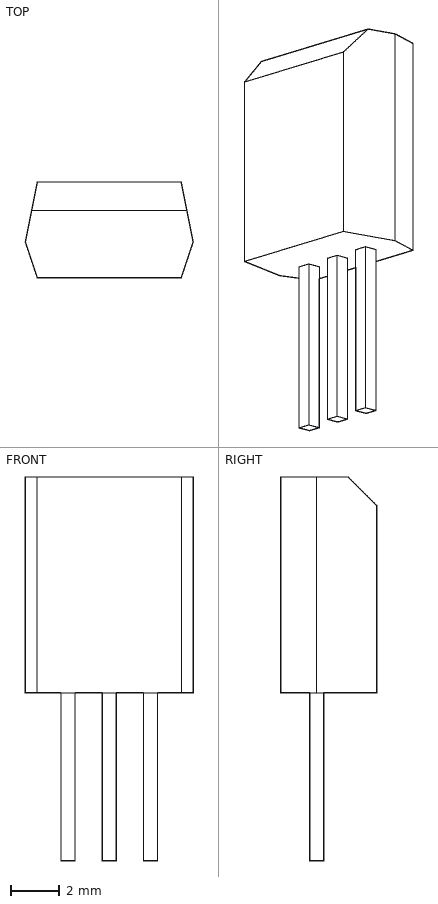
import cadquery as cq

body_width = 7.0
body_height = 9.0
front_depth = 1.5
back_depth = 2.5
side_taper = 0.5
top_bevel = 1.2

lead_count = 3
lead_pitch = 1.72
lead_size = 0.6
lead_length = 7.0


def make_body():
    half_width = body_width / 2
    half_face = half_width - side_taper
    outline = [
        (-half_face, -front_depth),
        (half_face, -front_depth),
        (half_width, 0),
        (half_face, back_depth),
        (-half_face, back_depth),
        (-half_width, 0),
    ]
    prism = cq.Workplane("XY").polyline(outline).close().extrude(body_height)
    return prism.faces(">Z").edges(">Y").chamfer(top_bevel)


def make_leads():
    return (
        cq.Workplane("XY")
        .rarray(lead_pitch, 1, lead_count, 1)
        .rect(lead_size, lead_size)
        .extrude(-lead_length)
    )


result = make_body().union(make_leads())